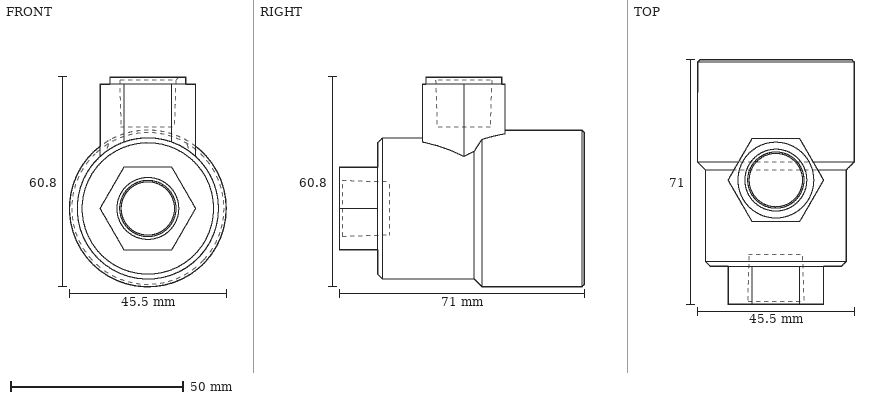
import cadquery as cq
import math

front_y = -36.1
back_y = front_y + 71

large_diameter = 45.5
small_diameter = 41.0
shoulder_y = front_y + 11.1
cone_end_y = 5.25
cone_length = (large_diameter - small_diameter) / 2
front_chamfer = 1.4
back_chamfer = 0.7

hex_flats = 24.0
hex_corners = hex_flats / math.cos(math.pi / 6)
branch_top = 38.05
collar_diameter = 22
collar_height = 2.0

mouth_diameter = 17.95
bore_diameter = 16.3
taper_ratio = 1 / 16
floor_diameter = 15.5
mouth_depth = (mouth_diameter - bore_diameter) / 2
taper_length = (bore_diameter - floor_diameter) / taper_ratio


def make_body():
    small_length = cone_end_y - cone_length - shoulder_y
    small = (
        cq.Workplane("XZ", origin=(0, shoulder_y, 0))
        .circle(small_diameter / 2)
        .extrude(-small_length)
        .faces("<Y")
        .chamfer(front_chamfer)
    )
    large = (
        cq.Workplane("XZ", origin=(0, cone_end_y - cone_length, 0))
        .circle(large_diameter / 2)
        .extrude(-(back_y - cone_end_y + cone_length))
        .faces("<Y")
        .chamfer(cone_length)
        .faces(">Y")
        .chamfer(back_chamfer)
    )
    return small.union(large)


def make_bore(mouth_plane):
    """Blind tapered bore with a countersunk mouth, running inward from the mouth plane."""
    countersink = (
        mouth_plane.circle(mouth_diameter / 2)
        .workplane(offset=-mouth_depth)
        .circle(bore_diameter / 2)
        .loft()
    )
    tapered_bore = (
        mouth_plane.workplane(offset=-mouth_depth)
        .circle(bore_diameter / 2)
        .workplane(offset=-taper_length)
        .circle(floor_diameter / 2)
        .loft()
    )
    return countersink.union(tapered_bore)


front_plane = cq.Workplane("XZ", origin=(0, front_y, 0))
branch_plane = cq.Workplane("XY", origin=(0, 0, branch_top))

front_hex = front_plane.polygon(6, hex_corners).extrude(front_y - shoulder_y)
branch_hex = cq.Workplane("XY").polygon(6, hex_corners).extrude(branch_top - collar_height)
collar = branch_plane.circle(collar_diameter / 2).extrude(-collar_height)

result = make_body().union(front_hex).union(branch_hex).union(collar)
for plane in (front_plane, branch_plane):
    result = result.cut(make_bore(plane))